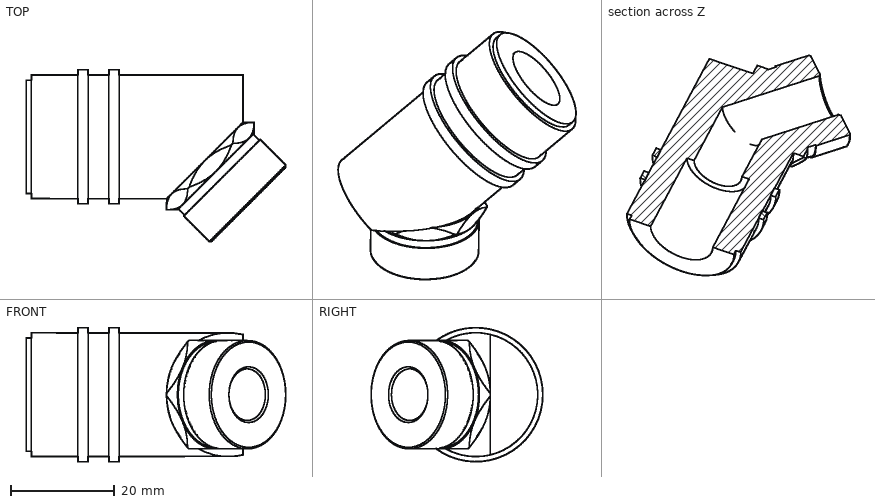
import cadquery as cq
import math

body_radius = 12.0
body_length = 42.0
spigot_radius = 11.0
spigot_length = 1.0
socket_radius = 6.5
socket_depth = 18.0

ring_radius = 13.0
ring_width = 2.0
ring_starts = (10.0, 16.0)

bend_x = 30.0
outlet_angle = 45.0
bore_radius = 5.0
bore_chamfer = 0.4

seat_distance = 6.5
hex_thickness = 3.0
neck_length = 1.7
outlet_length = 12.0
outlet_end = seat_distance + outlet_length

hex_across_flats = 21.0
hex_corner_radius = hex_across_flats / math.sqrt(3)
neck_radius = 10.25
collar_radius = 10.5
collar_chamfer = 0.3

outlet_direction = cq.Vector(
    math.cos(math.radians(outlet_angle)), -math.sin(math.radians(outlet_angle)), 0
)
across_outlet = cq.Vector(-outlet_direction.y, outlet_direction.x, 0)


def outlet_plane(distance):
    """Plane square to the outlet axis, at a distance from the bend point."""
    origin = cq.Vector(bend_x, 0, 0) + outlet_direction * distance
    return cq.Plane(origin=origin, xDir=across_outlet, normal=outlet_direction)


def outlet_cylinder(start, length, radius):
    """Cylinder along the outlet axis, starting at a distance from the bend point."""
    return cq.Workplane(outlet_plane(start)).circle(radius).extrude(length)


def outlet_cone(base_center, direction, base_radius, height):
    """Cone frustum that narrows at 45 degrees from its base."""
    tip_radius = base_radius - height
    return cq.Workplane(cq.Solid.makeCone(base_radius, tip_radius, height, base_center, direction))


def body_cylinder(start, length, radius):
    """Cylinder along the body axis, starting at a given X."""
    return cq.Workplane("YZ", origin=(start, 0, 0)).circle(radius).extrude(length)


def make_straight_body():
    """Stepped cylinder cut off at the seat of the outlet hexagon."""
    spigot = body_cylinder(0, spigot_length, spigot_radius)
    barrel = body_cylinder(spigot_length, body_length - spigot_length, body_radius)
    cutter_size = 2 * body_length
    beyond_seat = (
        cq.Workplane(outlet_plane(seat_distance))
        .rect(cutter_size, cutter_size)
        .extrude(body_length)
    )
    return spigot.union(barrel).cut(beyond_seat)


def make_hexagon():
    """Hexagon whose corners are turned to 45 degrees from both faces to mid thickness."""
    blank = (
        cq.Workplane(outlet_plane(seat_distance))
        .polygon(6, 2 * hex_corner_radius)
        .extrude(hex_thickness)
    )
    middle = outlet_plane(seat_distance + hex_thickness / 2).origin
    turned_radius = hex_across_flats / 2 + hex_thickness / 2
    cones = [
        outlet_cone(middle, direction, turned_radius, hex_thickness / 2)
        for direction in (outlet_direction, outlet_direction * -1)
    ]
    return blank.intersect(cones[0].union(cones[1]))


def make_outlet():
    """Hexagon, relief neck and chamfered collar along the outlet axis."""
    neck_start = seat_distance + hex_thickness
    collar_start = neck_start + neck_length
    neck = outlet_cylinder(neck_start, neck_length, neck_radius)
    collar = outlet_cylinder(collar_start, outlet_end - collar_start, collar_radius)
    end_face = cq.selectors.DirectionMinMaxSelector(outlet_direction)
    collar = collar.faces(end_face).chamfer(collar_chamfer)
    return make_hexagon().union(neck).union(collar)


def make_passage():
    """Socket and bore along the body, mitred at the bend into the outlet bore."""
    socket = body_cylinder(0, socket_depth, socket_radius)
    end_point = outlet_plane(outlet_end).origin
    bore_path = cq.Workplane("XY").polyline([(0, 0), (bend_x, 0), (end_point.x, end_point.y)])
    bore = cq.Workplane("YZ").circle(bore_radius).sweep(bore_path, transition="right")
    mouth_radius = bore_radius + bore_chamfer
    mouth_chamfer = outlet_cone(end_point, outlet_direction * -1, mouth_radius, bore_chamfer)
    return socket.union(bore).union(mouth_chamfer)


def make_ring(start):
    """Plain ring seated on the outside of the body."""
    disc = body_cylinder(start, ring_width, ring_radius)
    return disc.cut(body_cylinder(start, ring_width, body_radius))


elbow = make_straight_body().union(make_outlet()).cut(make_passage())
rings = [make_ring(start) for start in ring_starts]

result = cq.Compound.makeCompound([elbow.val(), *[ring.val() for ring in rings]])